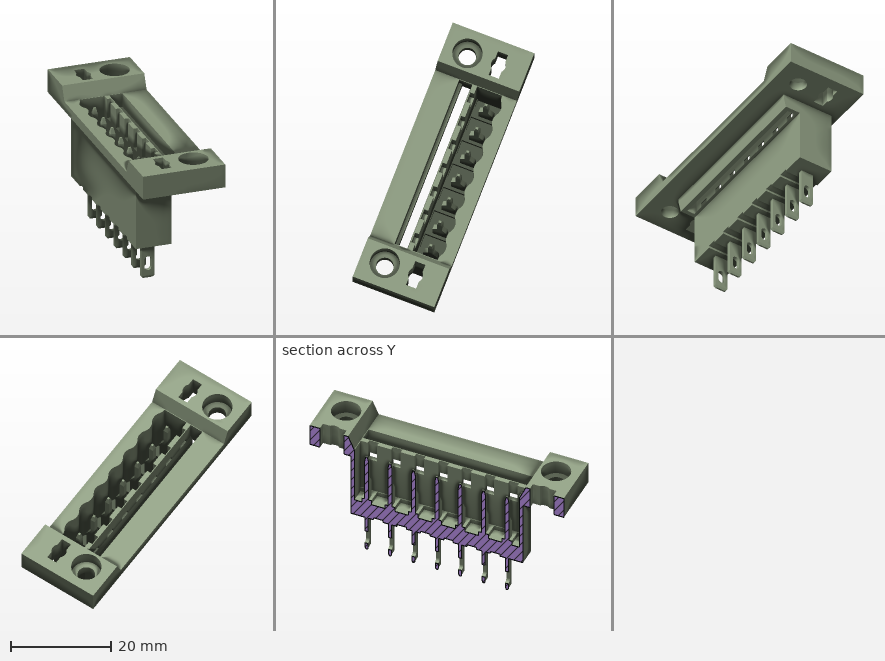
import cadquery as cq

flange_length = 55.5
flange_width = 17.4
flange_thickness = 5.0
bridge_thickness = 2.0
ear_top_x = 19.35
ear_foot_x = 18.05

housing_length = 37.6
housing_bottom = -14.85
housing_front_y = -7.0
housing_back_y = 0.55
shelf_back_y = 4.4
shelf_toe_y = 3.9
shelf_bend_z = -0.95
shelf_bottom = -3.0

cavity_length = 35.85
comb_front_y = -0.3
comb_back_y = 0.7
comb_toe_y = 1.2
latch_back_y = 3.55
latch_toe_y = 2.9
comb_slot_width = 2.05
comb_slot_floor = -2.15
comb_web_thickness = 0.15
comb_web_bottom = -1.1
wave_mean_y = -6.0
wave_height = 0.4
cavity_floor = -10.0
recess_depth = 1.0
strip_width = 2.2
recess_back_y = -0.45

contact_count = 7
contact_pitch = 5.1
row_center_x = -0.05
contact_y = -3.3
blade_thickness = 1.0
blade_width = 3.0
shoulder_top = -4.45
shoulder_bottom = -6.1
post_width = 1.0
post_top = 1.0
point_height = 1.2
point_width = 0.45
tail_thickness = 0.8
tail_width = 2.85
tail_bottom = -23.0
tail_point_height = 0.5
tail_tip_thickness = 0.35
tail_tip_width = 2.05
eye_width = 1.45
eye_length = 3.0
eye_center_z = -19.85
notch_width = 1.95
notch_height = 0.5

ear_hole_x = 22.9
screw_y = 3.7
screw_diameter = 3.55
screw_head_diameter = 6.05
screw_head_depth = 3.0
key_y = -2.9
key_length = 5.15
key_width = 2.15
key_bore_diameter = 3.0

overlap = 0.55

contact_xs = [row_center_x + (i - (contact_count - 1) / 2) * contact_pitch for i in range(contact_count)]


def block(x_range, y_range, z_range):
    """Box between two limits on each axis."""
    (x0, x1), (y0, y1), (z0, z1) = x_range, y_range, z_range
    return cq.Workplane("XY").box(x1 - x0, y1 - y0, z1 - z0, centered=False).translate((x0, y0, z0))


def side_prism(points, length):
    """Prism along X, centred on X = 0, with its outline given in Y and Z."""
    return cq.Workplane("YZ").polyline(points).close().extrude(length / 2, both=True)


def taper(start_size, end_size, start_z, end_z):
    """Four-sided taper between two centred rectangles."""
    return (
        cq.Workplane("XY")
        .workplane(offset=start_z)
        .rect(*start_size)
        .workplane(offset=end_z - start_z)
        .rect(*end_size)
        .loft(ruled=True)
    )


def make_flange():
    """Bar with two raised ears that slope down to a thin bridge."""
    half = flange_length / 2
    outline = [
        (-half, 0),
        (half, 0),
        (half, flange_thickness),
        (ear_top_x, flange_thickness),
        (ear_foot_x, bridge_thickness),
        (-ear_foot_x, bridge_thickness),
        (-ear_top_x, flange_thickness),
        (-half, flange_thickness),
    ]
    return cq.Workplane("XZ").polyline(outline).close().extrude(flange_width / 2, both=True)


def make_housing():
    """Deep body with a shallow shelf along its back."""
    outline = [
        (housing_front_y, overlap),
        (housing_front_y, housing_bottom),
        (housing_back_y, housing_bottom),
        (housing_back_y, shelf_bottom),
        (shelf_toe_y, shelf_bottom),
        (shelf_back_y, shelf_bend_z),
        (shelf_back_y, overlap),
    ]
    return side_prism(outline, housing_length)


def make_cavity():
    """Contact cavity whose front wall waves once per contact."""
    top = flange_thickness + overlap
    bottom = cavity_floor - recess_depth
    half = cavity_length / 2
    quarter = contact_pitch / 4
    crest_y = wave_mean_y + wave_height
    trough_y = wave_mean_y - wave_height
    start_x = contact_xs[0] - 3 * quarter
    end_x = contact_xs[-1] + 3 * quarter
    outline = cq.Workplane("XY", origin=(0, 0, bottom)).moveTo(start_x, wave_mean_y)
    for x in contact_xs:
        outline = outline.threePointArc((x - 2 * quarter, crest_y), (x - quarter, wave_mean_y))
        outline = outline.threePointArc((x, trough_y), (x + quarter, wave_mean_y))
    outline = outline.threePointArc((end_x - quarter, crest_y), (end_x, wave_mean_y))
    outline = outline.lineTo(end_x, comb_front_y).lineTo(start_x, comb_front_y).close()

    cavity = outline.extrude(top - bottom)
    cavity = cavity.intersect(block((-half, half), (housing_front_y, comb_front_y), (bottom, top)))

    floor_z = (bottom, cavity_floor)
    for x in contact_xs:
        strip_x = (x - strip_width / 2, x + strip_width / 2)
        cavity = cavity.cut(block(strip_x, (housing_front_y, comb_front_y), floor_z))
    lip = block((-half, half), (recess_back_y, comb_front_y), floor_z)
    return cavity.cut(lip)


def make_latch_slot():
    """Slot behind the comb, open above and below, with sloping lower walls."""
    outline = [
        (comb_back_y, flange_thickness),
        (comb_back_y, comb_slot_floor),
        (comb_toe_y, shelf_bottom),
        (latch_toe_y, shelf_bottom),
        (latch_toe_y, shelf_bend_z),
        (latch_back_y, shelf_bend_z),
        (latch_back_y, flange_thickness),
    ]
    return side_prism(outline, cavity_length)


def cut_comb_slots(body):
    """Slots in the front of the comb, each opening to the back under a thin web."""
    web_front_y = comb_back_y - comb_web_thickness
    for x in contact_xs:
        slot_x = (x - comb_slot_width / 2, x + comb_slot_width / 2)
        slot_y = (comb_front_y - overlap, web_front_y)
        window_y = (comb_front_y - overlap, comb_back_y + overlap)
        body = body.cut(block(slot_x, slot_y, (comb_slot_floor, flange_thickness)))
        body = body.cut(block(slot_x, window_y, (comb_slot_floor, comb_web_bottom)))
    return body


def cut_bottom_notches(body):
    """Shallow notches across the underside, midway between contacts."""
    for x in contact_xs[:-1]:
        middle = x + contact_pitch / 2
        notch_x = (middle - notch_width / 2, middle + notch_width / 2)
        notch_y = (housing_front_y, housing_back_y)
        body = body.cut(block(notch_x, notch_y, (housing_bottom, housing_bottom + notch_height)))
    return body


def cut_ear_openings(body):
    """Counterbored screw hole and keyed opening in each ear."""
    for x in (-ear_hole_x, ear_hole_x):
        top = body.faces(">Z").workplane(origin=(x, screw_y, flange_thickness))
        body = top.cboreHole(screw_diameter, screw_head_diameter, screw_head_depth)
        key = cq.Workplane("XY").center(x, key_y)
        body = body.cut(key.rect(key_length, key_width).extrude(flange_thickness))
        body = body.cut(key.circle(key_bore_diameter / 2).extrude(flange_thickness))
    return body


def make_contact():
    """Pointed post on a shouldered blade, with a pierced solder tail."""
    blade_outline = [
        (-blade_width / 2, housing_bottom + overlap),
        (blade_width / 2, housing_bottom + overlap),
        (blade_width / 2, shoulder_bottom),
        (post_width / 2, shoulder_top),
        (post_width / 2, post_top - point_height),
        (-post_width / 2, post_top - point_height),
        (-post_width / 2, shoulder_top),
        (-blade_width / 2, shoulder_bottom),
    ]
    blade = side_prism(blade_outline, blade_thickness)
    point = taper((post_width, post_width), (point_width, point_width), post_top - point_height, post_top)

    tail_end = tail_bottom + tail_point_height
    tail = block(
        (-tail_thickness / 2, tail_thickness / 2),
        (-tail_width / 2, tail_width / 2),
        (tail_end, housing_bottom + 2 * overlap),
    )
    tail_tip_size = (tail_tip_thickness, tail_tip_width)
    tail_tip = taper((tail_thickness, tail_width), tail_tip_size, tail_end, tail_bottom)
    eye = cq.Workplane("YZ").center(0, eye_center_z).slot2D(eye_length, eye_width, 90)
    tail = tail.union(tail_tip).cut(eye.extrude(tail_thickness, both=True))
    return blade.union(point).union(tail)


result = make_flange().union(make_housing())
result = result.cut(make_cavity()).cut(make_latch_slot())
result = cut_comb_slots(result)
result = cut_bottom_notches(result)
result = cut_ear_openings(result)

contact = make_contact()
for contact_x in contact_xs:
    result = result.union(contact.translate((contact_x, contact_y, 0)))